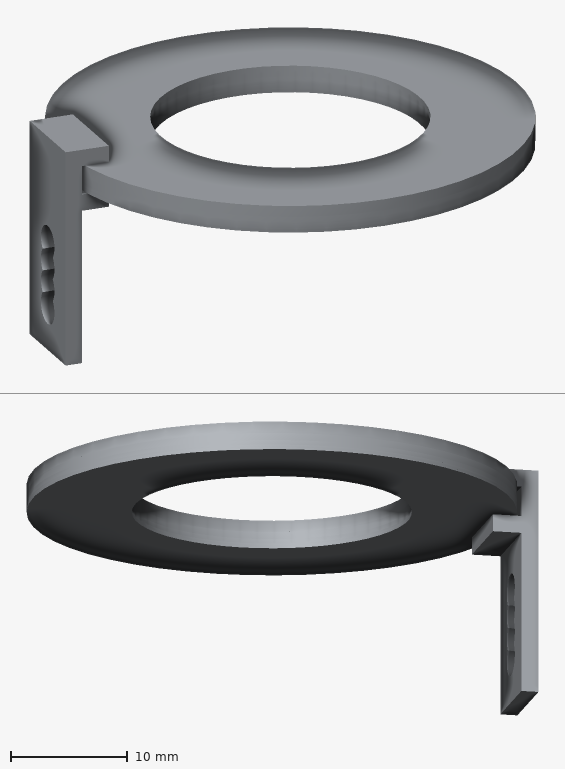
import cadquery as cq

ring_outer_diameter = 42.0
ring_bore_diameter = 24.0
ring_thicknesses = [0.16, 0.25, 0.4, 0.63, 1.0]

bracket_width = 8.0
wall = 1.5
clip_depth = 4.0
slot_height = 2.6
slot_gap_below_rings = 0.1
leg_length = 14.0

hole_diameter = 3.0
hole_pitch = 2.0
hole_count = 4
lowest_hole_height = 3.9

slot_floor_y = -ring_outer_diameter / 2
bracket_front_y = slot_floor_y - wall
clip_back_y = bracket_front_y + clip_depth
slot_bottom_z = -slot_gap_below_rings
slot_top_z = slot_bottom_z + slot_height
clip_bottom_z = slot_bottom_z - wall
clip_top_z = slot_top_z + wall
leg_bottom_z = clip_bottom_z - leg_length
hole_row_middle_z = leg_bottom_z + lowest_hole_height + (hole_count - 1) * hole_pitch / 2


def make_ring(bottom_z, thickness):
    """Flat ring with its lower face at bottom_z."""
    return (
        cq.Workplane("XY")
        .workplane(offset=bottom_z)
        .circle(ring_outer_diameter / 2)
        .circle(ring_bore_diameter / 2)
        .extrude(thickness)
    )


def make_rings():
    """Rings laid face to face, the thinnest at the bottom."""
    stack = []
    bottom_z = 0.0
    for thickness in ring_thicknesses:
        stack.append(make_ring(bottom_z, thickness))
        bottom_z += thickness
    return stack


def make_adjustment_holes():
    """Cutter for the vertical row of overlapping holes."""
    return (
        cq.Workplane("XZ", origin=(0, slot_floor_y, hole_row_middle_z))
        .rarray(1, hole_pitch, 1, hole_count)
        .circle(hole_diameter / 2)
        .extrude(wall)
    )


def make_bracket():
    """Clip and leg extruded from one side profile, then pierced by the holes."""
    profile = [
        (bracket_front_y, leg_bottom_z),
        (slot_floor_y, leg_bottom_z),
        (slot_floor_y, clip_bottom_z),
        (clip_back_y, clip_bottom_z),
        (clip_back_y, slot_bottom_z),
        (slot_floor_y, slot_bottom_z),
        (slot_floor_y, slot_top_z),
        (clip_back_y, slot_top_z),
        (clip_back_y, clip_top_z),
        (bracket_front_y, clip_top_z),
    ]
    body = cq.Workplane("YZ").polyline(profile).close().extrude(bracket_width / 2, both=True)
    return body.cut(make_adjustment_holes())


rings = make_rings()
bracket = make_bracket()

result = cq.Compound.makeCompound([*[ring.val() for ring in rings], bracket.solids().val()])